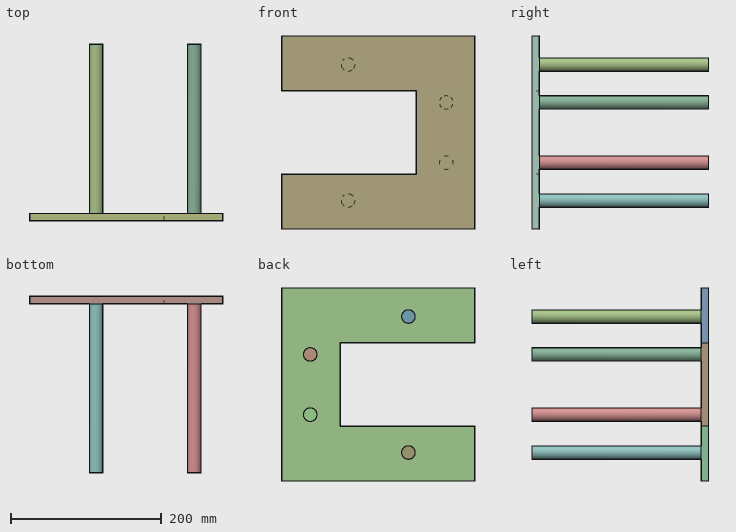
import cadquery as cq

plate_size = 256.0
plate_thickness = 10.0
slot_height = 110.0
web_width = 77.8
slot_depth = plate_size - web_width

rod_diameter = 18.0
rod_length = 224.0
arm_rod_x = 88.0
web_rod_x = 218.0
arm_rod_offset = 90.0
web_rod_offset = 40.0
rod_embed = plate_thickness / 2

mid_height = plate_size / 2


def make_plate():
    plate = cq.Workplane("XY").box(plate_size, plate_thickness, plate_size, centered=False)
    slot = (
        cq.Workplane("XY")
        .box(slot_depth, plate_thickness, slot_height, centered=False)
        .translate((0, 0, mid_height - slot_height / 2))
    )
    return plate.cut(slot)


def make_rod(x, z):
    rod = cq.Solid.makeCylinder(
        rod_diameter / 2,
        rod_length + rod_embed,
        cq.Vector(x, plate_thickness - rod_embed, z),
        cq.Vector(0, 1, 0),
    )
    return cq.Workplane(obj=rod)


result = make_plate()
for rod_x, rod_offset in ((arm_rod_x, arm_rod_offset), (web_rod_x, web_rod_offset)):
    for side in (-1, 1):
        result = result.union(make_rod(rod_x, mid_height + side * rod_offset))